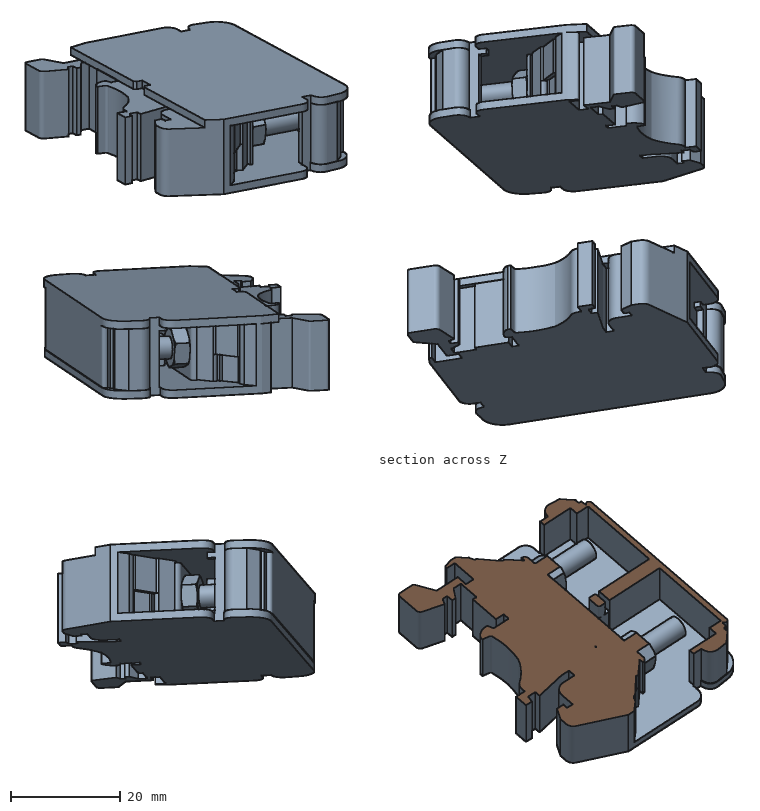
import cadquery as cq
import math


PLATE = 1.5
HEIGHT = 14.5
COVER_BOTTOM = HEIGHT - PLATE

HALF_LENGTH = 25.0
TOP_Y = 32.2
CORNER_RADIUS = 4.0
FLOOR_SHIFT = -0.15
NOTCH_X = 21.5
NOTCH_LOW_Y = 21.95
NOTCH_HIGH_Y = 23.8
NOTCH_CORNER_RADIUS = 2.0
BULGE_X = 23.7
BULGE_LOW_Y = 24.35
BULGE_HIGH_Y = 25.95
BULGE_RADIUS = 1.95
SHOULDER_X = 23.45
SHOULDER_Y = 28.3
CHAMFER_Y = 3.6
CHAMFER_END_X = 24.2
KEYWAY_HALF = 1.45
KEYWAY_DEPTH = 1.6
KEYWAY_LEAD = 0.45

FLANK_TOP_Y = 3.15
FLANK_SLOPE = 2.17

WALL = 1.2
WALL_INSET = 0.1
SILL_Y = 4.55
BASE_FRONT_Y = 0.15
RECESS_FRONT_Y = 1.0
RECESS_BACK_Y = 3.45
FOOT_SLOT_Y = 2.0
FUNNEL_STEP_Z = 6.5
NOSE_RADIUS = 1.0
LUG_BOTTOM_Z = 12.0
LUG_LOW_Y = 20.5
TOP_WALL_LENGTH = 39.0
PARTITION_HALF = 1.5
PARTITION_LOW_Y = 18.9
RIB_RADIUS = 0.45

BAR_LOW_Y = 13.55
BAR_HIGH_Y = 14.55
BAR_TOP_Z = 12.5
BAR_HALF_LENGTH = 17.0
BAR_EDGE_RADIUS = 0.95
STUD_X = 12.5
STUD_Z = 7.0
STUD_DIAMETER = 4.2
STUD_TOP_Y = 26.0
HEX_CORNER_RADIUS = 4.0
HEX_HEIGHT = 2.95
HEX_TURN = 20.6
HEX_CHAMFER_HEIGHT = 0.2
HEX_CHAMFER_WIDTH = 0.4

FOOT_BOTTOM_Y = -9.5
LEFT_STEM_X = -21.05
LEFT_STEM_INNER_X = -19.35
LEFT_STEM_TOP_Y = 1.7
HINGE_X = -18.75
MIDDLE_FOOT_LEFT_X = -7.25
MIDDLE_FOOT_RIGHT_X = 9.7
RIGHT_FOOT_X = 11.15
RIGHT_FOOT_BOTTOM_Y = -6.95


def flank_x(y):
    """X of the slanted right flank at a given Y."""
    return HALF_LENGTH - (FLANK_TOP_Y - y) / FLANK_SLOPE


def rounded_prism(corners, bottom, top):
    """Extrude a closed outline; a corner is (x, y) or (x, y, radius)."""
    outline = None
    for i, corner in enumerate(corners):
        here = cq.Vector(*corner[:2])
        radius = corner[2] if len(corner) == 3 else 0
        start = here
        if radius:
            following = corners[(i + 1) % len(corners)]
            back = (cq.Vector(*corners[i - 1][:2]) - here).normalized()
            ahead = (cq.Vector(*following[:2]) - here).normalized()
            half_angle = back.getAngle(ahead) / 2
            reach = radius / math.tan(half_angle)
            start = here + back * reach
            end = here + ahead * reach
            depth = radius / math.sin(half_angle) - radius
            middle = here + (back + ahead).normalized() * depth
        if outline is None:
            outline = cq.Workplane("XY", origin=(0, 0, bottom)).moveTo(start.x, start.y)
        else:
            outline = outline.lineTo(start.x, start.y)
        if radius:
            outline = outline.threePointArc((middle.x, middle.y), (end.x, end.y))
    return outline.close().extrude(top - bottom)


def rectangle(x0, x1, y0, y1, radius=0):
    """Corners of a rectangle, all rounded alike."""
    return [(x0, y0, radius), (x1, y0, radius), (x1, y1, radius), (x0, y1, radius)]


def both_ends(feature):
    return feature.union(feature.mirror("YZ"))


def upper_corners(shift=0.0):
    """Plate outline above the openings, from the right end round to the left end."""
    right = [
        (HALF_LENGTH, NOTCH_LOW_Y + shift, NOTCH_CORNER_RADIUS),
        (NOTCH_X, NOTCH_LOW_Y + shift),
        (NOTCH_X, NOTCH_HIGH_Y + shift),
        (BULGE_X, BULGE_LOW_Y + shift, BULGE_RADIUS),
        (BULGE_X, BULGE_HIGH_Y + shift),
        (SHOULDER_X, SHOULDER_Y + shift),
        (SHOULDER_X - 0.25, TOP_Y + shift, CORNER_RADIUS),
    ]
    left = [(-corner[0], *corner[1:]) for corner in reversed(right)]
    return right + left


def cover():
    lead_x = KEYWAY_HALF + KEYWAY_LEAD
    lower = [
        (-HALF_LENGTH, CHAMFER_Y),
        (-CHAMFER_END_X, 0),
        (-lead_x, 0),
        (-KEYWAY_HALF, KEYWAY_LEAD),
        (-KEYWAY_HALF, KEYWAY_DEPTH),
        (KEYWAY_HALF, KEYWAY_DEPTH),
        (KEYWAY_HALF, KEYWAY_LEAD),
        (lead_x, 0),
        (flank_x(0), 0),
        (HALF_LENGTH, FLANK_TOP_Y),
    ]
    return rounded_prism(lower + upper_corners(), COVER_BOTTOM, HEIGHT)


def floor():
    lower = [(-HALF_LENGTH, SILL_Y), (HALF_LENGTH, SILL_Y)]
    return rounded_prism(lower + upper_corners(FLOOR_SHIFT), 0, PLATE)


def base_block():
    """Full-height block under the wire openings, carrying the rail feet."""
    slot_x = -8.55
    step_x = -15.1
    post_x = -23.9
    post_y = 1.5
    corners = [
        (-HALF_LENGTH, SILL_Y),
        (-HALF_LENGTH, RECESS_BACK_Y),
        (-24.5, post_y, 0.4),
        (post_x, post_y),
        (post_x, RECESS_BACK_Y),
        (HINGE_X, RECESS_BACK_Y),
        (HINGE_X, RECESS_FRONT_Y),
        (step_x, RECESS_FRONT_Y),
        (step_x, BASE_FRONT_Y),
        (slot_x, BASE_FRONT_Y),
        (slot_x, FOOT_SLOT_Y),
        (MIDDLE_FOOT_LEFT_X, FOOT_SLOT_Y),
        (MIDDLE_FOOT_LEFT_X, BASE_FRONT_Y),
        (MIDDLE_FOOT_RIGHT_X, BASE_FRONT_Y),
        (MIDDLE_FOOT_RIGHT_X, FOOT_SLOT_Y),
        (RIGHT_FOOT_X, FOOT_SLOT_Y),
        (RIGHT_FOOT_X, BASE_FRONT_Y),
        (flank_x(BASE_FRONT_Y), BASE_FRONT_Y),
        (HALF_LENGTH, FLANK_TOP_Y),
        (HALF_LENGTH, SILL_Y),
    ]
    return rounded_prism(corners, 0, COVER_BOTTOM)


def funnels():
    """Stepped 45-degree guides leading the wires up to the current bar."""
    entry = [(-HALF_LENGTH, SILL_Y), (-23.3, 6.35), (-22.2, 6.85)]
    lower_guide = [
        (-21.15, 6.85),
        (-18.75, 9.25),
        (-18.75, 9.65),
        (-17.9, 9.9),
        (-18.8, 10.0, NOSE_RADIUS),
    ]
    upper_guide = [(-22.2, 7.2), (-18.7, 10.45)]
    exit_to_middle = [
        (-18.8, 10.9),
        (-16.45, 13.25),
        (-16.0, BAR_LOW_Y),
        (0, BAR_LOW_Y),
        (0, SILL_Y),
    ]
    lower = rounded_prism(entry + lower_guide + exit_to_middle, PLATE, FUNNEL_STEP_Z)
    upper = rounded_prism(entry + upper_guide + exit_to_middle, FUNNEL_STEP_Z, COVER_BOTTOM)
    return both_ends(lower.union(upper))


def end_walls():
    """Walls above the wire openings, each with a locating lug under the cover."""
    inner_x = -NOTCH_X + WALL
    top_wall_y = TOP_Y - WALL
    bevel_x = -21.25
    bevel_y = 30.35
    joint_x = -18.5
    joint = 0.1
    corners = [
        (inner_x, NOTCH_LOW_Y),
        (-NOTCH_X, NOTCH_LOW_Y),
        (-NOTCH_X, NOTCH_HIGH_Y),
        (-BULGE_X + WALL_INSET, BULGE_LOW_Y, BULGE_RADIUS),
        (-BULGE_X + WALL_INSET, BULGE_HIGH_Y),
        (-SHOULDER_X + WALL_INSET, SHOULDER_Y),
        (bevel_x, bevel_y),
        (inner_x, bevel_y),
        (inner_x, top_wall_y - joint),
        (joint_x, top_wall_y + joint),
        (joint_x, SHOULDER_Y),
        (inner_x, SHOULDER_Y),
    ]
    wall = rounded_prism(corners, PLATE, COVER_BOTTOM)
    lug_outline = rectangle(-NOTCH_X, inner_x, LUG_LOW_Y, NOTCH_LOW_Y)
    lug = rounded_prism(lug_outline, LUG_BOTTOM_Z, COVER_BOTTOM)
    return both_ends(wall.union(lug))


def top_wall():
    """Wall along the +Y side, with fully rounded ends."""
    return (
        cq.Workplane("XY", origin=(0, TOP_Y - WALL / 2, PLATE))
        .slot2D(TOP_WALL_LENGTH, WALL)
        .extrude(COVER_BOTTOM - PLATE)
    )


def partition():
    """Wall between the two terminals; its lower edge carries two rounded ribs."""
    x0, x1 = -PARTITION_HALF, PARTITION_HALF
    wall = rounded_prism(rectangle(x0, x1, PARTITION_LOW_Y, TOP_Y - WALL / 2), PLATE, COVER_BOTTOM)
    lower_rib = rectangle(x0, x1, 15.2, PARTITION_LOW_Y, RIB_RADIUS)
    upper_rib = rectangle(x0, x1, 16.3, 18.1, RIB_RADIUS)
    return (
        wall.union(rounded_prism(lower_rib, PLATE, STUD_Z))
        .union(rounded_prism(upper_rib, STUD_Z, COVER_BOTTOM))
    )


def current_bar():
    corners = [
        (-BAR_HALF_LENGTH, BAR_LOW_Y),
        (BAR_HALF_LENGTH, BAR_LOW_Y),
        (BAR_HALF_LENGTH, BAR_HIGH_Y, BAR_EDGE_RADIUS),
        (-BAR_HALF_LENGTH, BAR_HIGH_Y, BAR_EDGE_RADIUS),
    ]
    return rounded_prism(corners, PLATE, BAR_TOP_Z)


def studs():
    """Hexagon-headed studs standing on the current bar, axes along Y."""
    chamfered_disc = (
        cq.Workplane("XY")
        .circle(HEX_CORNER_RADIUS)
        .extrude(HEX_HEIGHT)
        .faces("<Z or >Z")
        .chamfer(HEX_CHAMFER_HEIGHT, HEX_CHAMFER_WIDTH)
    )
    head = (
        cq.Workplane("XY")
        .polygon(6, 2 * HEX_CORNER_RADIUS)
        .extrude(HEX_HEIGHT)
        .rotate((0, 0, 0), (0, 0, 1), HEX_TURN)
        .intersect(chamfered_disc)
    )
    shank = cq.Workplane("XY").circle(STUD_DIAMETER / 2).extrude(STUD_TOP_Y - BAR_HIGH_Y)
    stud = (
        head.union(shank)
        .rotate((0, 0, 0), (1, 0, 0), -90)
        .translate((-STUD_X, BAR_HIGH_Y, STUD_Z))
    )
    return both_ends(stud)


def left_foot():
    """Springy foot on a stem, hinged to the base at its upper right corner."""
    corners = [
        (HINGE_X, LEFT_STEM_TOP_Y),
        (LEFT_STEM_X, LEFT_STEM_TOP_Y),
        (LEFT_STEM_X, -3.4),
        (-HALF_LENGTH, -5.6, 0.5),
        (-HALF_LENGTH, FOOT_BOTTOM_Y, 0.75),
        (-18.95, FOOT_BOTTOM_Y, 0.95),
        (-17.5, -4.45),
        (-18.7, -3.9),
        (-18.7, -2.9),
        (-17.3, -2.85),
        (-17.3, -2.0),
        (LEFT_STEM_INNER_X, -0.7),
        (LEFT_STEM_INNER_X, RECESS_FRONT_Y),
        (HINGE_X, RECESS_FRONT_Y),
    ]
    return rounded_prism(corners, 0, COVER_BOTTOM)


def middle_foot():
    """Fixed foot with an arched underside and a hook at each end."""
    outline = (
        cq.Workplane("XY")
        .moveTo(MIDDLE_FOOT_LEFT_X, BASE_FRONT_Y)
        .lineTo(MIDDLE_FOOT_LEFT_X, -1.55)
        .lineTo(-8.45, -2.0)
        .threePointArc((-8.1, -3.9), (-7.0, -4.95))
        .lineTo(-6.4, -4.95)
        .lineTo(-6.2, -3.6)
        .threePointArc((-6.05, -3.25), (-5.6, -3.1))
        .threePointArc((-2.05, -2.75), (1.6, -3.25))
        .threePointArc((3.55, -4.35), (5.9, -6.7))
        .threePointArc((6.6, -7.25), (7.45, -7.45))
        .lineTo(8.15, -7.45)
        .lineTo(8.15, FOOT_BOTTOM_Y)
        .lineTo(11.0, FOOT_BOTTOM_Y)
        .lineTo(11.0, -8.0)
        .lineTo(9.65, -7.75)
        .lineTo(9.65, -6.1)
        .lineTo(10.85, -6.1)
        .lineTo(MIDDLE_FOOT_RIGHT_X, BASE_FRONT_Y)
    )
    return outline.close().extrude(COVER_BOTTOM)


def right_foot():
    """Fixed hook whose outer side continues the slanted flank."""
    corners = [
        (RIGHT_FOOT_X, BASE_FRONT_Y),
        (RIGHT_FOOT_X, -2.9, 2.25),
        (16.3, -2.9),
        (16.3, -4.15),
        (15.25, -4.15),
        (15.25, -5.75),
        (17.65, RIGHT_FOOT_BOTTOM_Y),
        (flank_x(RIGHT_FOOT_BOTTOM_Y), RIGHT_FOOT_BOTTOM_Y, 1.75),
        (flank_x(BASE_FRONT_Y), BASE_FRONT_Y),
    ]
    return rounded_prism(corners, 0, COVER_BOTTOM)


result = cover()
features = (
    floor,
    base_block,
    funnels,
    end_walls,
    top_wall,
    partition,
    current_bar,
    studs,
    left_foot,
    middle_foot,
    right_foot,
)
for feature in features:
    result = result.union(feature())